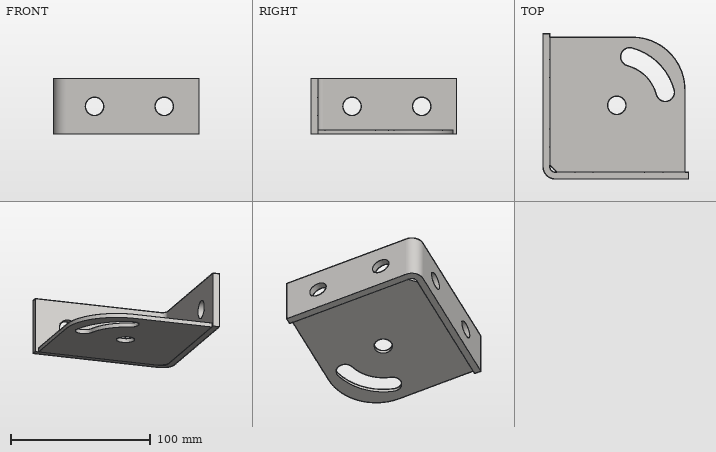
import cadquery as cq
import math

leg_length = 104.5
leg_height = 40.0
leg_thickness = 5.0
bend_inner_radius = 4.0
bend_outer_radius = bend_inner_radius + leg_thickness

hole_diameter = 13.0
leg_hole_end_distance = 25.0
leg_hole_spacing = 50.0
leg_hole_height = leg_height / 2
outer_leg_hole = leg_length - leg_hole_end_distance
leg_hole_positions = [outer_leg_hole - leg_hole_spacing, outer_leg_hole]

plate_size = 97.0
plate_thickness = 3.0
plate_corner_radius = 38.0
plate_corner_chamfer = 5.0
plate_start = leg_thickness
plate_end = plate_start + plate_size

pivot_position = 53.0
slot_radius = 36.0
slot_width = hole_diameter
slot_start_angle = 15.0
slot_end_angle = 90.0 - slot_start_angle


def make_angle():
    """Constant-thickness L profile with a rounded bend and two holes in each leg."""
    angle = (
        cq.Workplane("XY")
        .moveTo(leg_length, 0)
        .lineTo(bend_outer_radius, 0)
        .radiusArc((0, bend_outer_radius), bend_outer_radius)
        .lineTo(0, leg_length)
        .lineTo(leg_thickness, leg_length)
        .lineTo(leg_thickness, bend_outer_radius)
        .radiusArc((bend_outer_radius, leg_thickness), -bend_inner_radius)
        .lineTo(leg_length, leg_thickness)
        .close()
        .extrude(leg_height)
    )
    hole_radius = hole_diameter / 2
    for position in leg_hole_positions:
        x_leg_hole = cq.Solid.makeCylinder(
            hole_radius, leg_thickness, cq.Vector(position, 0, leg_hole_height), cq.Vector(0, 1, 0)
        )
        y_leg_hole = cq.Solid.makeCylinder(
            hole_radius, leg_thickness, cq.Vector(0, position, leg_hole_height), cq.Vector(1, 0, 0)
        )
        angle = angle.cut(cq.Workplane(x_leg_hole)).cut(cq.Workplane(y_leg_hole))
    return angle


def slot_point(radius, angle):
    """Point at a polar position around the pivot hole."""
    return (
        pivot_position + radius * math.cos(math.radians(angle)),
        pivot_position + radius * math.sin(math.radians(angle)),
    )


def make_curved_slot():
    """Arc-shaped slot with round ends, centred on the pivot hole."""
    inner_radius = slot_radius - slot_width / 2
    outer_radius = slot_radius + slot_width / 2
    middle_angle = (slot_start_angle + slot_end_angle) / 2
    tip_distance = math.hypot(slot_radius, slot_width / 2)
    tip_angle = math.degrees(math.atan2(slot_width / 2, slot_radius))
    return (
        cq.Workplane("XY")
        .moveTo(*slot_point(outer_radius, slot_start_angle))
        .threePointArc(slot_point(outer_radius, middle_angle), slot_point(outer_radius, slot_end_angle))
        .threePointArc(
            slot_point(tip_distance, slot_end_angle + tip_angle), slot_point(inner_radius, slot_end_angle)
        )
        .threePointArc(slot_point(inner_radius, middle_angle), slot_point(inner_radius, slot_start_angle))
        .threePointArc(
            slot_point(tip_distance, slot_start_angle - tip_angle), slot_point(outer_radius, slot_start_angle)
        )
        .close()
        .extrude(plate_thickness)
    )


def make_plate():
    """Square plate with a chamfer at the bend, a large round at the far corner, and its cutouts."""
    plate = (
        cq.Workplane("XY")
        .moveTo(plate_start + plate_corner_chamfer, plate_start)
        .lineTo(plate_end, plate_start)
        .lineTo(plate_end, plate_end - plate_corner_radius)
        .radiusArc((plate_end - plate_corner_radius, plate_end), -plate_corner_radius)
        .lineTo(plate_start, plate_end)
        .lineTo(plate_start, plate_start + plate_corner_chamfer)
        .close()
        .extrude(plate_thickness)
    )
    pivot_hole = (
        cq.Workplane("XY")
        .center(pivot_position, pivot_position)
        .circle(hole_diameter / 2)
        .extrude(plate_thickness)
    )
    return plate.cut(pivot_hole).cut(make_curved_slot())


angle = make_angle()
plate = make_plate()

result = cq.Compound.makeCompound([angle.val(), plate.val()])